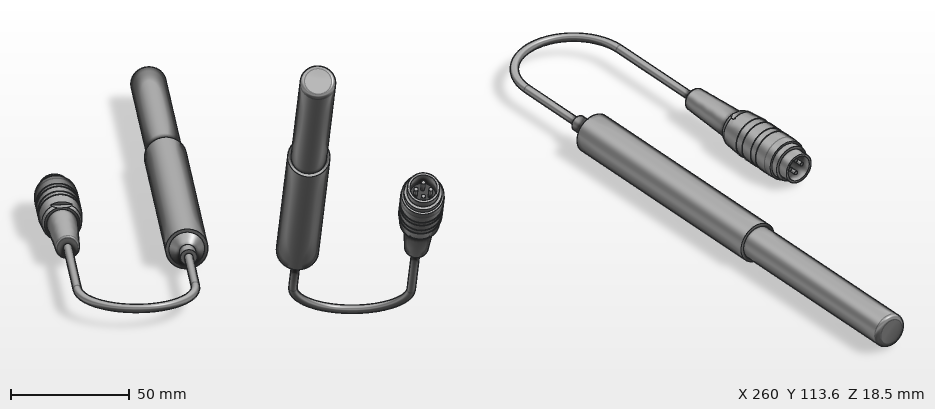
import cadquery as cq

tilt_angle = -13.15
bend_radius = 25.0
cable_diameter = 3.6

probe_cable_length = 34.0
tip_diameter = 15.0
tip_length = 89.7
tip_rounding = 1.8
sleeve_diameter = 18.0
sleeve_length = 110.0
cone_start_diameter = 15.0
cone_length = 4.0
relief_diameter = 7.0
relief_length = 6.2
probe_length = tip_length + sleeve_length + cone_length + relief_length
probe_start = -probe_cable_length - probe_length

end_hole_diameter = 2.25
end_hole_inset = 5.0
inner_hole_diameter = 1.7
inner_hole_inset = 25.0
sleeve_hole_depth = 2.5

plug_cable_length = 50.0
plug_length = 70.2
plug_start = -plug_cable_length - plug_length
nose_diameter = 13.5
nose_end = 5.0
collar_diameter = 16.0
collar_end = 8.0
shoulder_diameter = 18.0
shoulder_end = 11.7
grip_diameter = 18.5
groove_diameter = 18.0
groove_spans = [(17.7, 21.0), (26.8, 30.7)]
grip_end = 39.8
grip_end_diameter = 17.0
bevel_end = 41.9
bevel_end_diameter = 15.0
boot_start_diameter = 13.0
boot_end_diameter = 10.1
boot_rounding = 0.8

socket_diameter = 11.5
socket_depth = 10.0
pin_diameter = 1.7
pin_length = 8.0
pin_circle_radius = 3.0
pin_count = 4

flat_spacing = 14.5
flat_length = 3.6


def revolved(profile, start, offset):
    """Solid of revolution from (distance, radius) points, on the axis V = offset."""
    last_distance = profile[-1][0]
    points = [(0, 0)] + profile + [(last_distance, 0)]
    body = cq.Workplane("XY").polyline(points).close().revolve(360, (0, 0, 0), (1, 0, 0))
    return body.translate((start, offset, 0))


def placed(body):
    """Body turned from the straight layout to its final direction."""
    return body.rotate((0, 0, 0), (0, 0, 1), tilt_angle)


def make_probe():
    sleeve_end = tip_length + sleeve_length
    cone_end = sleeve_end + cone_length
    profile = [
        (0, tip_diameter / 2),
        (tip_length, tip_diameter / 2),
        (tip_length, sleeve_diameter / 2),
        (sleeve_end, sleeve_diameter / 2),
        (sleeve_end, cone_start_diameter / 2),
        (cone_end, relief_diameter / 2),
        (probe_length, relief_diameter / 2),
    ]
    probe = revolved(profile, probe_start, bend_radius)
    probe = probe.faces("<X").edges().fillet(tip_rounding)

    sleeve_start = probe_start + tip_length
    sleeve_side = bend_radius - sleeve_diameter / 2
    for diameter, inset in [
        (end_hole_diameter, end_hole_inset),
        (inner_hole_diameter, inner_hole_inset),
    ]:
        for distance in (inset, sleeve_length - inset):
            hole = (
                cq.Workplane("XZ", origin=(sleeve_start + distance, sleeve_side, 0))
                .circle(diameter / 2)
                .extrude(-sleeve_hole_depth)
            )
            probe = probe.cut(hole)
    return placed(probe)


def make_cable():
    path = (
        cq.Workplane("XY")
        .moveTo(-probe_cable_length, bend_radius)
        .lineTo(0, bend_radius)
        .threePointArc((bend_radius, 0), (0, -bend_radius))
        .lineTo(-plug_cable_length, -bend_radius)
    )
    cable = (
        cq.Workplane("YZ", origin=(-probe_cable_length, bend_radius, 0))
        .circle(cable_diameter / 2)
        .sweep(path)
    )
    return placed(cable)


def make_connector():
    profile = [
        (0, nose_diameter / 2),
        (nose_end, nose_diameter / 2),
        (nose_end, collar_diameter / 2),
        (collar_end, collar_diameter / 2),
        (collar_end, shoulder_diameter / 2),
        (shoulder_end, grip_diameter / 2),
    ]
    for groove_start, groove_end in groove_spans:
        profile += [
            (groove_start, grip_diameter / 2),
            (groove_start, groove_diameter / 2),
            (groove_end, groove_diameter / 2),
            (groove_end, grip_diameter / 2),
        ]
    profile += [
        (grip_end, grip_end_diameter / 2),
        (bevel_end, bevel_end_diameter / 2),
        (bevel_end, boot_start_diameter / 2),
        (plug_length, boot_end_diameter / 2),
    ]
    connector = revolved(profile, plug_start, -bend_radius)
    connector = connector.faces(">X").edges().fillet(boot_rounding)
    connector = cut_wrench_flats(connector)

    nose_face = cq.Workplane("YZ", origin=(plug_start, -bend_radius, 0))
    connector = connector.cut(nose_face.circle(socket_diameter / 2).extrude(socket_depth))
    pins = (
        nose_face.workplane(offset=socket_depth - pin_length)
        .polarArray(pin_circle_radius, 0, 360, pin_count)
        .circle(pin_diameter / 2)
        .extrude(pin_length)
    )
    return placed(connector.union(pins))


def cut_wrench_flats(connector):
    flats_start = plug_start + bevel_end - flat_length
    flat_cut_height = (grip_diameter - flat_spacing) / 2
    flat_centre = (flat_spacing + flat_cut_height) / 2
    outside_flats = (
        cq.Workplane("YZ", origin=(flats_start, -bend_radius, 0))
        .pushPoints([(0, flat_centre), (0, -flat_centre)])
        .rect(grip_diameter, flat_cut_height)
        .extrude(flat_length)
    )
    return connector.cut(outside_flats)


probe = make_probe()
cable = make_cable()
connector = make_connector()

result = cq.Compound.makeCompound([probe.val(), cable.val(), connector.val()])